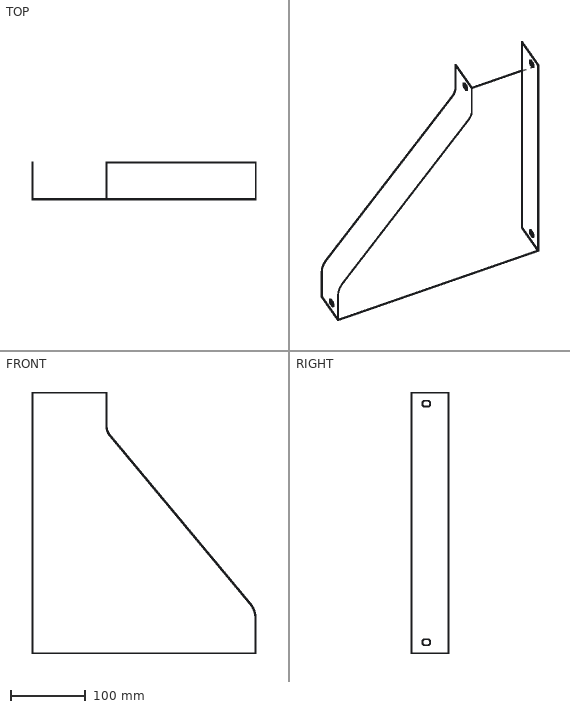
import cadquery as cq

width = 300.0
depth = 50.0
height = 350.0
sheet = 0.8

neck_width = 100.0
slope_top = 298.2
slope_bottom = 58.2
neck_bend_radius = 20.0
foot_inner_radius = 30.0
foot_bend_radius = foot_inner_radius + sheet

slot_length = 10.0
slot_height = 7.5
slot_corner_radius = 2.5
slot_from_front = 20.0
slot_from_end = 15.0


def round_corner(block, x, z, radius):
    """Fillet the Y-parallel edge at the given X and Z."""
    corner = cq.selectors.NearestToPointSelector((x, depth / 2, z))
    return block.edges(corner).fillet(radius)


def make_outer_block():
    """Solid block with the cover's outline, its sloped side blended at both ends."""
    outline = [
        (0, 0),
        (width, 0),
        (width, slope_bottom),
        (neck_width, slope_top),
        (neck_width, height),
        (0, height),
    ]
    block = cq.Workplane("XZ").polyline(outline).close().extrude(-depth)
    block = round_corner(block, neck_width, slope_top, neck_bend_radius)
    return round_corner(block, width, slope_bottom, foot_bend_radius)


def hollow_out(block):
    """Leave the front plate, the left wall and the stepped, sloping right wall."""
    return block.faces(">Y or >Z or <Z").shell(-sheet)


def make_slot_cutter(slot_z):
    """Bar with rounded corners running along X through both side walls."""
    return (
        cq.Workplane("YZ")
        .center(slot_from_front, slot_z)
        .rect(slot_length, slot_height)
        .extrude(width)
        .edges("|X")
        .fillet(slot_corner_radius)
    )


result = hollow_out(make_outer_block())
for slot_z in (slot_from_end, height - slot_from_end):
    result = result.cut(make_slot_cutter(slot_z))